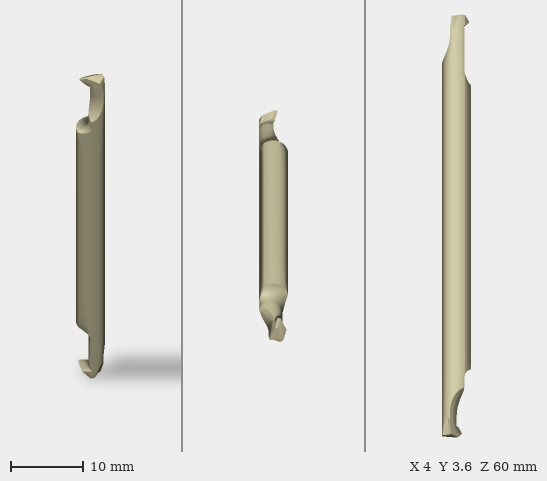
import cadquery as cq
import math

total_length = 60.0
half_length = total_length / 2
shank_diameter = 4.0
shank_radius = shank_diameter / 2
across_flats = 3.6
half_flats = across_flats / 2

neck_axis_x = 1.85
neck_radius = 1.9
shoulder_radius = 2.0
shoulder_start_z = half_length - 7.8

face_length = 2.95
runout_radius = 4.7

tip_x = -1.75
tip_drop = 0.8
crown_x = -0.55
hook_root_x = -0.6
hook_root_drop = 1.45
head_height = 1.5
land_depth = 0.4
clearance_angle = 45.0

taper_top_x = 1.55
taper_length = 1.85
taper_relief = 0.2


def shank_blank(height):
    """Round bar with two flats, standing on z = 0."""
    bar = cq.Workplane("XY").circle(shank_radius).extrude(height)
    flats = cq.Workplane("XY").rect(2 * shank_diameter, across_flats).extrude(height)
    return bar.intersect(flats)


def neck_relief():
    """Material turned away around the neck axis, with the shoulder arc at its lower end."""
    rim_radius = neck_radius + shoulder_radius
    arc_reach = shoulder_radius * math.sqrt(0.5)
    outer_radius = neck_axis_x + shank_diameter
    return (
        cq.Workplane("XZ", origin=(neck_axis_x, 0, 0))
        .moveTo(neck_radius, half_length)
        .lineTo(neck_radius, shoulder_start_z)
        .threePointArc(
            (rim_radius - arc_reach, shoulder_start_z - arc_reach),
            (rim_radius, shoulder_start_z - shoulder_radius),
        )
        .lineTo(outer_radius, shoulder_start_z - shoulder_radius)
        .lineTo(outer_radius, half_length)
        .close()
        .revolve(360, (0, 0), (0, 1))
    )


def hook_outline(y, shift):
    """Outline of the hooked head in the plane at y, moved along X by shift."""
    outline = [
        (tip_x, half_length - tip_drop),
        (crown_x, half_length),
        (shank_diameter, half_length),
        (shank_diameter, half_length - head_height),
        (neck_axis_x - neck_radius, half_length - head_height),
        (hook_root_x, half_length - hook_root_drop),
    ]
    return cq.Wire.makePolygon([cq.Vector(x + shift, y, z) for x, z in outline], close=True)


def cutting_head():
    """Hook with a straight land behind its cutting edge, then a slanted clearance."""
    clearance_shift = (half_flats - land_depth) * math.tan(math.radians(clearance_angle))
    front = hook_outline(0, 0)
    middle = hook_outline(land_depth, 0)
    rear = hook_outline(half_flats, clearance_shift)
    land = cq.Workplane(cq.Solid.makeLoft([front, middle], True))
    clearance = cq.Workplane(cq.Solid.makeLoft([middle, rear], True))
    return land.union(clearance).intersect(shank_blank(half_length))


def face_cut():
    """Removes the -Y side of the end down to the cutting face and its run-out arc."""
    face_end_z = half_length - face_length
    runout_length = math.sqrt(runout_radius**2 - (runout_radius - half_flats) ** 2)
    half_angle = math.asin(runout_length / runout_radius) / 2
    return (
        cq.Workplane("YZ")
        .moveTo(0, half_length)
        .lineTo(0, face_end_z)
        .threePointArc(
            (
                -runout_radius * (1 - math.cos(half_angle)),
                face_end_z - runout_radius * math.sin(half_angle),
            ),
            (-half_flats, face_end_z - runout_length),
        )
        .lineTo(-half_flats, half_length)
        .close()
        .extrude(shank_diameter, both=True)
    )


def taper_outline(y, shift):
    """Outline of the taper wedge in the plane at y, widened toward -X by shift."""
    slope = (shank_radius - taper_top_x) / taper_length
    top_x = taper_top_x - shift
    outer_x = shank_diameter
    outer_z = half_length - (outer_x - top_x) / slope
    outline = [(top_x, half_length), (outer_x, outer_z), (outer_x, half_length)]
    return cq.Wire.makePolygon([cq.Vector(x, y, z) for x, z in outline], close=True)


def back_taper():
    """Wedge removed from the +X side of the head, slanting inward behind the cutting face."""
    front = taper_outline(0, 0)
    middle = taper_outline(land_depth, taper_relief)
    rear = taper_outline(half_flats, taper_relief)
    slanted = cq.Workplane(cq.Solid.makeLoft([front, middle], True))
    straight = cq.Workplane(cq.Solid.makeLoft([middle, rear], True))
    return slanted.union(straight)


def bar_half():
    """Upper half of the bar, from mid-length to the cutting head."""
    stem = shank_blank(half_length - head_height).cut(neck_relief())
    return stem.union(cutting_head()).cut(face_cut()).cut(back_taper())


def boring_bar():
    """Whole bar: the lower half is the upper half turned end for end about the X axis."""
    upper_half = bar_half()
    lower_half = upper_half.rotate((0, 0, 0), (1, 0, 0), 180)
    return upper_half.union(lower_half).clean()


bar = boring_bar()

result = cq.Compound.makeCompound([bar.solids().val()])